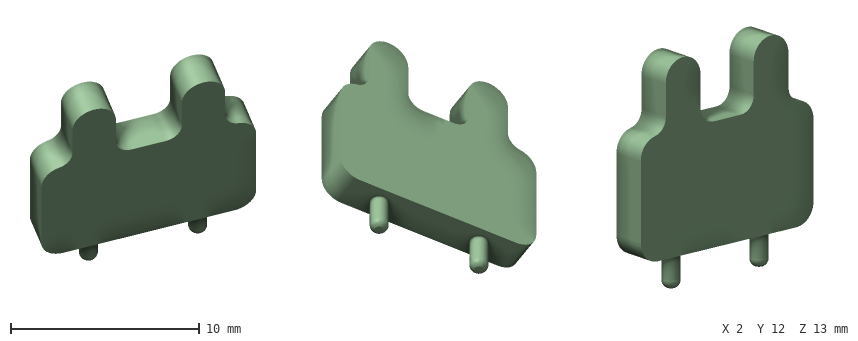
import cadquery as cq
import math

thickness = 2.0
width = 12.0
total_height = 13.0
pin_length = 2.0
shoulder_height = 9.01
corner_radius = 1.2

spacing = 6.11
lobe_radius = 1.21
root_radius = 0.91

pin_diameter = 1.0
tip_height = 0.5
tip_flat_diameter = 0.52

half_width = width / 2
lobe_center = spacing / 2
lobe_inner = lobe_center - lobe_radius
lobe_outer = lobe_center + lobe_radius
lobe_spring = total_height - lobe_radius


def point_on_circle(center, radius, angle):
    return (center[0] + radius * math.cos(angle), center[1] + radius * math.sin(angle))


def make_half_plate():
    """Half of the plate on the +Y side of the symmetry plane."""
    low_corner = (half_width - corner_radius, pin_length + corner_radius)
    high_corner = (half_width - corner_radius, shoulder_height - corner_radius)

    root_y = lobe_outer + root_radius
    center_distance = corner_radius + root_radius
    offset_y = root_y - high_corner[0]
    root_z = high_corner[1] + math.sqrt(center_distance**2 - offset_y**2)
    outer_root = (root_y, root_z)
    touch_angle = math.atan2(root_z - high_corner[1], offset_y)
    touch_point = point_on_circle(high_corner, corner_radius, touch_angle)
    root_mid_angle = (touch_angle + 2 * math.pi) / 2

    inner_root = (lobe_inner - root_radius, shoulder_height + root_radius)

    outline = (
        cq.Workplane("YZ", origin=(-thickness / 2, 0, 0))
        .moveTo(0, pin_length)
        .lineTo(low_corner[0], pin_length)
        .threePointArc(
            point_on_circle(low_corner, corner_radius, -math.pi / 4),
            (half_width, low_corner[1]),
        )
        .lineTo(half_width, high_corner[1])
        .threePointArc(
            point_on_circle(high_corner, corner_radius, touch_angle / 2),
            touch_point,
        )
        .threePointArc(
            point_on_circle(outer_root, root_radius, root_mid_angle),
            (lobe_outer, root_z),
        )
        .lineTo(lobe_outer, lobe_spring)
        .threePointArc((lobe_center, total_height), (lobe_inner, lobe_spring))
        .lineTo(lobe_inner, inner_root[1])
        .threePointArc(
            point_on_circle(inner_root, root_radius, -math.pi / 4),
            (inner_root[0], shoulder_height),
        )
        .lineTo(0, shoulder_height)
        .close()
    )
    return outline.extrude(thickness)


def make_pin(center_y):
    """Round pin with a flat end and a rounded rim, revolved about its own axis."""
    radius = pin_diameter / 2
    flat_radius = tip_flat_diameter / 2
    rim_width = radius - flat_radius
    rim_mid = (
        flat_radius + rim_width * math.cos(math.pi / 4),
        tip_height * (1 - math.sin(math.pi / 4)),
    )
    return (
        cq.Workplane("XZ")
        .lineTo(flat_radius, 0)
        .threePointArc(rim_mid, (radius, tip_height))
        .lineTo(radius, pin_length)
        .lineTo(0, pin_length)
        .close()
        .revolve(360, (0, 0), (0, 1))
        .translate((0, center_y, 0))
    )


half_plate = make_half_plate()
result = half_plate.union(half_plate.mirror("XZ"))
for pin_y in (-lobe_center, lobe_center):
    result = result.union(make_pin(pin_y))
result = result.clean()